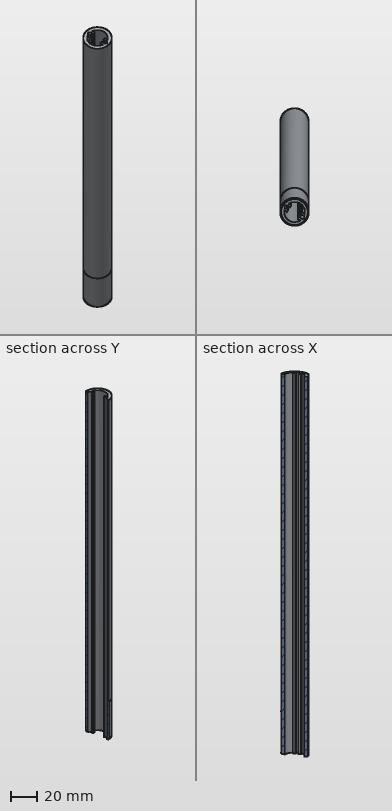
import cadquery as cq

length = 300.0
collar_diameter = 22.0
collar_height = 34.0
collar_chamfer = 1.0

collar_step = 0.1
tube_diameter = collar_diameter - 2 * collar_step
bore_diameter = 15.5

rib_face_offset = 4.8
rib_width = 6.3
channel_diameter = 3.0
channel_offset = 7.2
channel_mouth_width = 2.0


def outer_body():
    """Round tube with a chamfered collar around its lower end."""
    tube = cq.Workplane("XY").circle(tube_diameter / 2).extrude(length)
    collar = cq.Workplane("XY").circle(collar_diameter / 2).extrude(collar_height)
    collar = collar.faces("<Z").edges().chamfer(collar_chamfer)
    tube = tube.intersect(
        cq.Workplane("XY").workplane(offset=collar_chamfer).circle(collar_diameter).extrude(length)
    )
    return tube.union(collar)


def bore():
    """Through bore, narrowed on both X sides where the ribs stand."""
    opening = cq.Workplane("XY").circle(bore_diameter / 2).extrude(length)
    rib_depth = bore_diameter / 2 - rib_face_offset
    for side in (-1, 1):
        rib_center = side * (rib_face_offset + rib_depth / 2)
        rib = cq.Workplane("XY").center(rib_center, 0).rect(rib_depth, rib_width).extrude(length)
        opening = opening.cut(rib)
    return opening


def screw_channel(side):
    """Round channel in one rib, open to the bore through a narrower mouth."""
    channel = (
        cq.Workplane("XY")
        .center(side * channel_offset, 0)
        .circle(channel_diameter / 2)
        .extrude(length)
    )
    mouth = (
        cq.Workplane("XY")
        .center(side * channel_offset / 2, 0)
        .rect(channel_offset, channel_mouth_width)
        .extrude(length)
    )
    return channel.union(mouth)


result = outer_body().cut(bore())
for rib_side in (-1, 1):
    result = result.cut(screw_channel(rib_side))